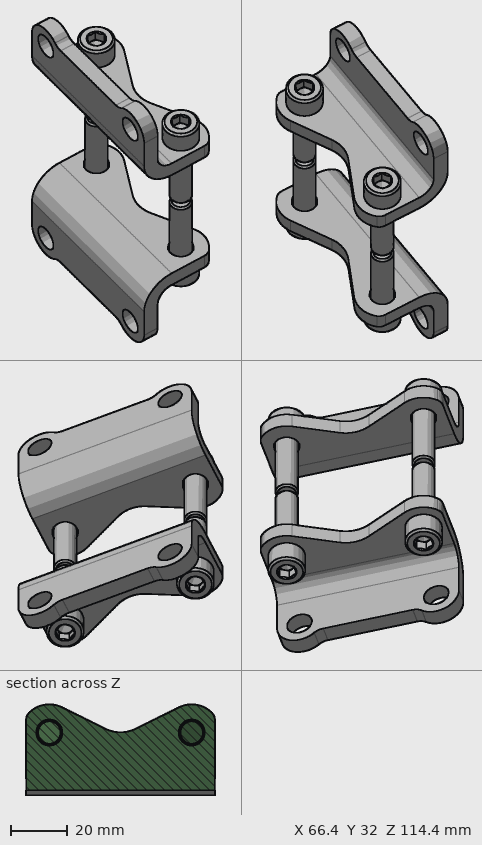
import cadquery as cq
import math

top_z = 57.2
hole_spacing = 50.0
hole_x = hole_spacing / 2

bracket_depth = 32.0
bracket_height = 32.2
plate = 6.0
bend_inner_radius = 6.1
bend_outer_radius = bend_inner_radius + plate
clearance_diameter = 9.0

ear_radius = 8.2
ear_rise = 3.2
ear_blend_radius = 5.0
half_width = hole_x + ear_radius

lobe_radius = 10.0
lobe_corner_radius = 4.0
valley_radius = 12.0
valley_y = 22.2

shank_diameter = 8.0
shank_length = 30.0
shank_chamfer = 0.7
head_diameter = 13.0
head_height = 8.0
head_chamfer = 0.8
socket_width = 6.0
socket_depth = 4.0
socket_mouth_diameter = 7.0
socket_tip_angle = 120.0
hexagon_half_angle = 30.0

foot_bottom_z = top_z - bracket_height
foot_top_z = foot_bottom_z + plate
ear_z = top_z - ear_radius
bolt_y = bracket_depth - lobe_radius


def point_on_circle(center, radius, angle):
    """Point at an angle in radians, counter-clockwise from the first axis."""
    return (center[0] + radius * math.cos(angle), center[1] + radius * math.sin(angle))


def mirrored(point):
    return (-point[0], point[1])


def bent_strip():
    """L-shaped sheet with a rounded bend, swept along X."""
    bend_center = (bend_outer_radius, foot_bottom_z + bend_outer_radius)
    bend_middle = math.radians(225)
    return (
        cq.Workplane("YZ", origin=(-half_width, 0, 0))
        .moveTo(0, top_z)
        .lineTo(0, bend_center[1])
        .threePointArc(
            point_on_circle(bend_center, bend_outer_radius, bend_middle),
            (bend_center[0], foot_bottom_z),
        )
        .lineTo(bracket_depth, foot_bottom_z)
        .lineTo(bracket_depth, foot_top_z)
        .lineTo(bend_center[0], foot_top_z)
        .threePointArc(
            point_on_circle(bend_center, bend_inner_radius, bend_middle),
            (plate, bend_center[1]),
        )
        .lineTo(plate, top_z)
        .close()
        .extrude(2 * half_width)
    )


def flange_outline():
    """Prism along Y whose upper edge has an ear at each end, blended into the straight edge."""
    edge_z = top_z - ear_rise
    ear_center = (hole_x, ear_z)
    blend_z = edge_z + ear_blend_radius
    blend_x = hole_x - math.sqrt((ear_radius + ear_blend_radius) ** 2 - (blend_z - ear_z) ** 2)
    blend_center = (blend_x, blend_z)
    toward_ear = math.atan2(ear_z - blend_z, hole_x - blend_x)
    blend_middle = (toward_ear - math.pi / 2) / 2

    ear_side = (half_width, ear_z)
    ear_top = (hole_x, top_z)
    ear_end = point_on_circle(blend_center, ear_blend_radius, toward_ear)
    blend_mid = point_on_circle(blend_center, ear_blend_radius, blend_middle)
    blend_end = (blend_x, edge_z)
    return (
        cq.Workplane("XZ")
        .moveTo(-half_width, foot_bottom_z)
        .lineTo(half_width, foot_bottom_z)
        .lineTo(*ear_side)
        .threePointArc(ear_top, ear_end)
        .threePointArc(blend_mid, blend_end)
        .lineTo(*mirrored(blend_end))
        .threePointArc(mirrored(blend_mid), mirrored(ear_end))
        .threePointArc(mirrored(ear_top), mirrored(ear_side))
        .close()
        .extrude(-bracket_depth)
    )


def foot_outline():
    """Prism along Z whose rear edge has two lobes around the bolts and a rounded valley."""
    lobe_center = (hole_x, bolt_y)
    corner_x = half_width - lobe_corner_radius
    corner_rise = math.sqrt((lobe_radius - lobe_corner_radius) ** 2 - (corner_x - hole_x) ** 2)
    corner_center = (corner_x, bolt_y + corner_rise)
    corner_angle = math.atan2(corner_rise, corner_x - hole_x)
    valley_center = (0, valley_y + valley_radius)
    center_rise = valley_center[1] - bolt_y
    center_gap = math.hypot(hole_x, center_rise)
    slope_angle = math.atan2(hole_x, center_rise) - math.acos((lobe_radius + valley_radius) / center_gap)
    slope_normal = math.pi / 2 + slope_angle

    corner_start = (half_width, corner_center[1])
    corner_mid = point_on_circle(corner_center, lobe_corner_radius, corner_angle / 2)
    corner_end = point_on_circle(corner_center, lobe_corner_radius, corner_angle)
    lobe_top = (hole_x, bracket_depth)
    lobe_end = point_on_circle(lobe_center, lobe_radius, slope_normal)
    valley_start = point_on_circle(valley_center, valley_radius, slope_normal - math.pi)
    return (
        cq.Workplane("XY", origin=(0, 0, foot_bottom_z))
        .moveTo(-half_width, 0)
        .lineTo(half_width, 0)
        .lineTo(*corner_start)
        .threePointArc(corner_mid, corner_end)
        .threePointArc(lobe_top, lobe_end)
        .lineTo(*valley_start)
        .threePointArc((0, valley_y), mirrored(valley_start))
        .lineTo(*mirrored(lobe_end))
        .threePointArc(mirrored(lobe_top), mirrored(corner_end))
        .threePointArc(mirrored(corner_mid), mirrored(corner_start))
        .close()
        .extrude(bracket_height)
    )


def clearance_holes():
    """Cutters for the mounting holes in the flange and the bolt holes in the foot."""
    hole_radius = clearance_diameter / 2
    mounting = (
        cq.Workplane("XZ")
        .pushPoints([(-hole_x, ear_z), (hole_x, ear_z)])
        .circle(hole_radius)
        .extrude(-plate)
    )
    bolt_holes = (
        cq.Workplane("XY", origin=(0, 0, foot_bottom_z))
        .pushPoints([(-hole_x, bolt_y), (hole_x, bolt_y)])
        .circle(hole_radius)
        .extrude(plate)
    )
    return mounting.add(bolt_holes).combine()


def make_bracket():
    """Upper bracket."""
    blank = bent_strip().intersect(flange_outline()).intersect(foot_outline())
    return blank.cut(clearance_holes())


def socket_cutter():
    """Hexagon socket with a conical bottom and a countersunk mouth, open at the head top."""
    head_top_z = foot_top_z + head_height
    floor_z = head_top_z - socket_depth
    corner_diameter = socket_width / math.cos(math.radians(hexagon_half_angle))
    tip_depth = socket_width / 2 / math.tan(math.radians(socket_tip_angle / 2))
    hexagon = (
        cq.Workplane("XY", origin=(0, 0, floor_z))
        .transformed(rotate=(0, 0, hexagon_half_angle))
        .polygon(6, corner_diameter)
        .extrude(socket_depth)
    )
    tip = cq.Workplane(
        cq.Solid.makeCone(socket_width / 2, 0, tip_depth, pnt=(0, 0, floor_z), dir=(0, 0, -1))
    )
    mouth_radius = socket_mouth_diameter / 2
    mouth = cq.Workplane(
        cq.Solid.makeCone(mouth_radius, 0, mouth_radius, pnt=(0, 0, head_top_z), dir=(0, 0, -1))
    )
    return hexagon.union(tip).union(mouth)


def make_bolt(x):
    """Socket head bolt of the upper bracket, its head resting on the foot."""
    head = (
        cq.Workplane("XY", origin=(0, 0, foot_top_z))
        .circle(head_diameter / 2)
        .extrude(head_height)
        .faces(">Z")
        .chamfer(head_chamfer)
    )
    shank = (
        cq.Workplane("XY", origin=(0, 0, foot_top_z))
        .circle(shank_diameter / 2)
        .extrude(-shank_length)
        .faces("<Z")
        .chamfer(shank_chamfer)
    )
    return head.union(shank).cut(socket_cutter()).translate((x, bolt_y, 0))


upper_bracket = make_bracket()
upper_bolts = [make_bolt(x) for x in (-hole_x, hole_x)]

bodies = []
for upper_body in [upper_bracket, *upper_bolts]:
    bodies.append(upper_body.val())
    bodies.append(upper_body.mirror("XY").val())

result = cq.Compound.makeCompound(bodies)